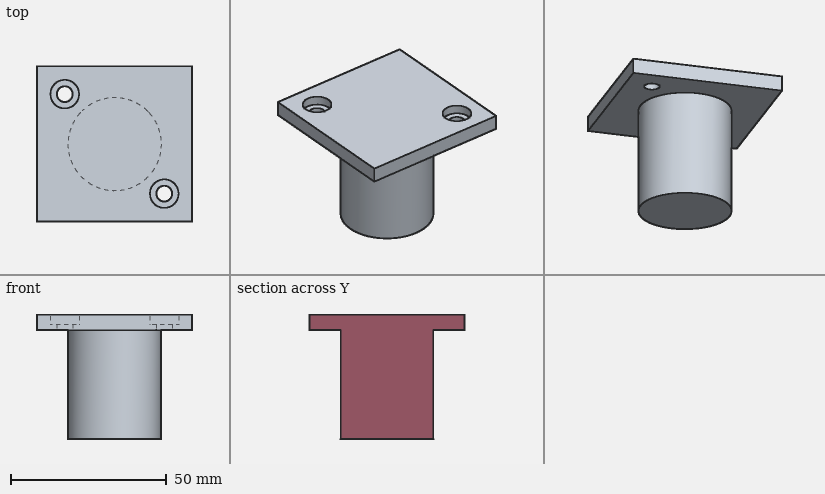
import cadquery as cq

plate_side = 50
plate_thickness = 5

post_diameter = 30
post_length = 35

hole_diameter = 5
counterbore_diameter = 9.2
counterbore_depth = 3
hole_offset = 16
hole_centers = [(-hole_offset, hole_offset), (hole_offset, -hole_offset)]

plate = cq.Workplane("XY").rect(plate_side, plate_side).extrude(plate_thickness)
drilled_plate = (
    plate.faces(">Z")
    .workplane()
    .pushPoints(hole_centers)
    .cboreHole(hole_diameter, counterbore_diameter, counterbore_depth)
)
post = cq.Workplane("XY").circle(post_diameter / 2).extrude(-post_length)

result = drilled_plate.union(post)